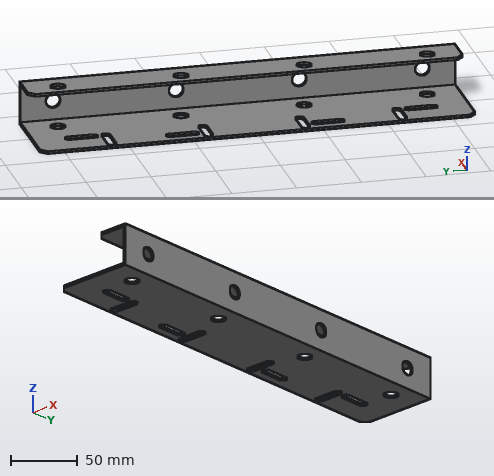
import cadquery as cq

length = 336.0
base_width = 67.5
height = 34.0
lip_width = 29.2
thickness = 2.0
corner_chamfer = 5.0

hole_diameter = 11.0
hole_pitch = 95.0
hole_count = 4
hole_edge_distance = 16.8

slot_length = 25.2
slot_width = 6.7
slot_edge_gap = 2.0
slot_pitch = 75.0
lengthwise_slot_offset = 18.8
inner_slot_shift = 12.5

cross_slot_x = slot_edge_gap + slot_length / 2
outer_slot_x = slot_edge_gap + slot_length - slot_width / 2
inner_slot_x = outer_slot_x - inner_slot_shift
hole_x = base_width - hole_edge_distance
hole_positions_y = [(i - (hole_count - 1) / 2) * hole_pitch for i in range(hole_count)]


def flange(width, bottom):
    """Horizontal plate reaching from the back wall, with its two free corners cut."""
    plate = cq.Workplane("XY").box(width, length, thickness, centered=(False, True, False))
    plate = plate.edges("|Z and <X").chamfer(corner_chamfer)
    return plate.translate((base_width - width, 0, bottom))


def base_slots(points, angle):
    """Cutters for rounded slots at the given points of the base."""
    return cq.Workplane("XY").pushPoints(points).slot2D(slot_length, slot_width, angle).extrude(thickness)


back_wall = (
    cq.Workplane("XY")
    .box(thickness, length, height, centered=(False, True, False))
    .translate((base_width - thickness, 0, 0))
)
channel = back_wall.union(flange(base_width, 0)).union(flange(lip_width, height - thickness))

flange_holes = (
    cq.Workplane("XY")
    .pushPoints([(hole_x, y) for y in hole_positions_y])
    .circle(hole_diameter / 2)
    .extrude(height)
)

wall_holes = (
    cq.Workplane("YZ", origin=(base_width - thickness, 0, height / 2))
    .pushPoints([(y, 0) for y in hole_positions_y])
    .circle(hole_diameter / 2)
    .extrude(thickness)
)

cross_points = []
lengthwise_points = []
for side in (-1, 1):
    for pitches, lengthwise_x in ((0.5, inner_slot_x), (1.5, outer_slot_x)):
        cross_y = pitches * slot_pitch
        cross_points.append((cross_slot_x, side * cross_y))
        lengthwise_points.append((lengthwise_x, side * (cross_y + lengthwise_slot_offset)))

result = (
    channel.cut(flange_holes)
    .cut(wall_holes)
    .cut(base_slots(cross_points, 0))
    .cut(base_slots(lengthwise_points, 90))
)